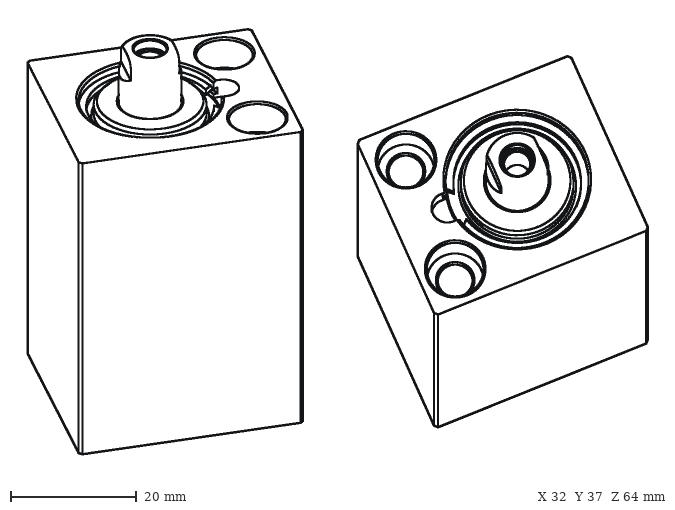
import cadquery as cq
import math

WIDTH = 32.0
DEPTH = 37.0
TOTAL_HEIGHT = 64.0
ROD_PROJECTION = 9.4
BLOCK_TOP = TOTAL_HEIGHT - ROD_PROJECTION
BORE_TO_FRONT = WIDTH / 2
EDGE_CHAMFER = 0.5

BORE_RADIUS = 22.8 / 2
BORE_CHAMFER = 0.4
BORE_DEPTH = 25.6
SLOT_RADIUS = 2.5
SLOT_OFFSET = 12.1
SLOT_DEPTH = 3.2

MOUNT_X = 10.0
MOUNT_Y = 15.0
MOUNT_RADIUS = 5.5 / 2
COUNTERBORE_RADIUS = 9.0 / 2
COUNTERBORE_DEPTH = 5.5
MOUNT_CHAMFER = 0.3

RING_INNER_RADIUS = 10.2
RING_OUTER_RADIUS = 12.0
RING_TOP_DEPTH = 1.5
RING_THICKNESS = 1.0
RING_GAP_HALF_WIDTH = 2.5

HEAD_TOP_DEPTH = 0.5
NECK_RADIUS = 18.0 / 2
HEAD_CHAMFER_WIDTH = 0.5
HEAD_CHAMFER_HEIGHT = 0.65
FLANGE_DEPTH = SLOT_DEPTH
NECK_FLARE = 0.4
FLANGE_CHAMFER = 0.2
ROD_RELIEF = 0.3

ROD_RADIUS = 10.0 / 2
ROD_FILLET = 1.4
FLATS_WIDTH = 8.0
FLATS_HEIGHT = 3.6
SOCKET_RADIUS = 5.25 / 2
SOCKET_DEPTH = 1.65
SOCKET_CHAMFER = 0.2
ROD_HOLE_RADIUS = 4.15 / 2
ROD_HOLE_DEPTH = 8.3
ROD_HOLE_CHAMFER = 0.25

BORE_FLOOR = BLOCK_TOP - BORE_DEPTH
RING_TOP = BLOCK_TOP - RING_TOP_DEPTH
RING_BOTTOM = RING_TOP - RING_THICKNESS


def cylinder(radius, bottom, top):
    return cq.Workplane("XY").workplane(offset=bottom).circle(radius).extrude(top - bottom)


def revolved(points):
    """Turn a closed outline of (radius, z) points about the Z axis."""
    return cq.Workplane("XZ").polyline(points).close().revolve(360, (0, 0), (0, 1))


def chamfered_hole(radius, bottom, top, chamfer):
    """Cutter for a hole whose rim at the top is chamfered."""
    return revolved([
        (0, bottom),
        (radius, bottom),
        (radius, top - chamfer),
        (radius + chamfer, top),
        (0, top),
    ])


def ring_blank():
    return cylinder(RING_OUTER_RADIUS, RING_BOTTOM, RING_TOP).cut(
        cylinder(RING_INNER_RADIUS, RING_BOTTOM, RING_TOP)
    )


def make_housing():
    block = (
        cq.Workplane("XY")
        .center(0, DEPTH / 2 - BORE_TO_FRONT)
        .rect(WIDTH, DEPTH)
        .extrude(BLOCK_TOP)
        .edges("|Z")
        .chamfer(EDGE_CHAMFER)
    )
    block = block.cut(chamfered_hole(BORE_RADIUS, BORE_FLOOR, BLOCK_TOP, BORE_CHAMFER))
    block = block.cut(ring_blank())

    slot_floor = BLOCK_TOP - SLOT_DEPTH
    slot_end = cylinder(SLOT_RADIUS, slot_floor, BLOCK_TOP).translate((0, SLOT_OFFSET, 0))
    slot_channel = (
        cq.Workplane("XY")
        .workplane(offset=slot_floor)
        .center(0, SLOT_OFFSET / 2)
        .rect(2 * SLOT_RADIUS, SLOT_OFFSET)
        .extrude(SLOT_DEPTH)
    )
    block = block.cut(slot_end).cut(slot_channel)

    counterbore_floor = BLOCK_TOP - COUNTERBORE_DEPTH
    mount = chamfered_hole(MOUNT_RADIUS, 0, counterbore_floor, MOUNT_CHAMFER).union(
        chamfered_hole(COUNTERBORE_RADIUS, counterbore_floor, BLOCK_TOP, MOUNT_CHAMFER)
    )
    for x in (-MOUNT_X, MOUNT_X):
        block = block.cut(mount.translate((x, MOUNT_Y, 0)))
    return block


def make_ring():
    inner_y = math.sqrt(RING_INNER_RADIUS**2 - RING_GAP_HALF_WIDTH**2)
    start_half_width = RING_GAP_HALF_WIDTH / 2
    start_y = inner_y - (RING_GAP_HALF_WIDTH - start_half_width)
    end_half_width = start_half_width + RING_OUTER_RADIUS - start_y
    gap = (
        cq.Workplane("XY")
        .workplane(offset=RING_BOTTOM)
        .polyline([
            (-start_half_width, start_y),
            (start_half_width, start_y),
            (end_half_width, RING_OUTER_RADIUS),
            (-end_half_width, RING_OUTER_RADIUS),
        ])
        .close()
        .extrude(RING_THICKNESS)
    )
    return ring_blank().cut(gap)


def make_head():
    top = BLOCK_TOP - HEAD_TOP_DEPTH
    flange_top = BLOCK_TOP - FLANGE_DEPTH
    return revolved([
        (0, BORE_FLOOR),
        (BORE_RADIUS, BORE_FLOOR),
        (BORE_RADIUS, flange_top - FLANGE_CHAMFER),
        (BORE_RADIUS - FLANGE_CHAMFER, flange_top),
        (NECK_RADIUS + NECK_FLARE, flange_top),
        (NECK_RADIUS, flange_top + NECK_FLARE),
        (NECK_RADIUS, top - HEAD_CHAMFER_HEIGHT),
        (NECK_RADIUS - HEAD_CHAMFER_WIDTH, top),
        (ROD_RADIUS + ROD_RELIEF, top),
        (ROD_RADIUS, top - ROD_RELIEF),
        (0, top - ROD_RELIEF),
    ])


def make_rod():
    rod = cylinder(ROD_RADIUS, BORE_FLOOR, TOTAL_HEIGHT)
    rod = rod.faces(">Z").edges().fillet(ROD_FILLET)

    half = FLATS_WIDTH / 2
    flats_bottom = TOTAL_HEIGHT - FLATS_HEIGHT
    flat = (
        cq.Workplane("YZ")
        .polyline([
            (half, TOTAL_HEIGHT),
            (half, flats_bottom),
            (ROD_RADIUS, flats_bottom - (ROD_RADIUS - half)),
            (ROD_RADIUS, TOTAL_HEIGHT),
        ])
        .close()
        .extrude(ROD_RADIUS, both=True)
    )
    rod = rod.cut(flat).cut(flat.mirror("XZ"))

    socket_floor = TOTAL_HEIGHT - SOCKET_DEPTH
    socket = chamfered_hole(SOCKET_RADIUS, socket_floor, TOTAL_HEIGHT, SOCKET_CHAMFER)
    hole = chamfered_hole(
        ROD_HOLE_RADIUS,
        TOTAL_HEIGHT - ROD_HOLE_DEPTH,
        socket_floor,
        ROD_HOLE_CHAMFER,
    )
    return rod.cut(socket).cut(hole)


def make_plunger():
    return make_head().union(make_rod())


housing = make_housing()
ring = make_ring()
plunger = make_plunger()

result = cq.Compound.makeCompound([housing.val(), ring.val(), plunger.val()])